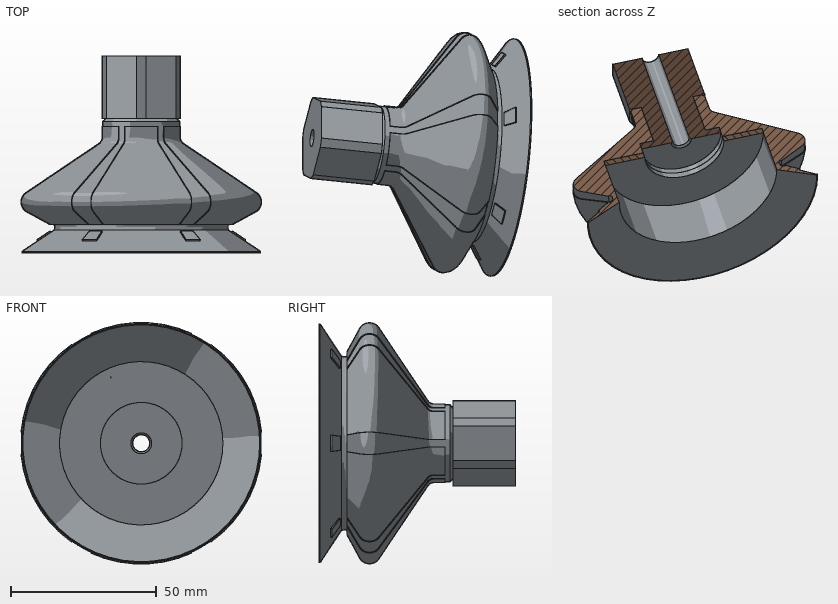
import cadquery as cq
import math


overall_length = 67.4
overall_radius = 41.4

pad_thickness = 0.29
fold_rounding = 3.6
fold_y = 17.4
fold_center_radius = overall_radius - pad_thickness - fold_rounding
upper_cone_angle = math.radians(56.2)
lower_cone_angle = math.radians(61.5)
fold_end_y = 9.6
neck_radius = 13.2
neck_rounding = 2.3
neck_top_y = 45.9
neck_chamfer = 1.0

groove_radius = 29.7
groove_y = 8.7
groove_rounding = 0.4
lip_radius = 40.9
lip_edge_height = 0.5
lip_edge_width = 0.3
lip_top_radius = 29.9
lip_top_y = 7.8
lip_inside_height = 6.0

pad_count = 6
pad_pitch = 360 / pad_count
pad_span = 49.4
pad_top_y = 43.2

block_thickness = 0.5
block_span = 9.0
block_bottom_y = 4.05
block_top_y = 7.0

cup_radius = 28.0
ring_hole_radius = 14.0
ring_front_y = 23.4
ring_thickness = 2.1
ring_back_y = ring_front_y + ring_thickness

flange_front_y = 27.4
flange_thickness = 2.5
flange_back_y = flange_front_y + flange_thickness
stem_radius = 9.1
hex_across_flats = 26.8
hex_corner_radius = 14.65
bore_radius = 2.9
bore_chamfer = 0.7


def revolve_about_y(outline, angle=360):
    """Turn an outline about the Y axis, starting in the XY plane."""
    return outline.close().revolve(angle, (0, 0, 0), (0, 1, 0))


def sector_about_y(outline, span, middle):
    """Turn an outline through span degrees, its middle at an angle measured from +X."""
    solid = revolve_about_y(outline, span)
    return solid.rotate((0, 0, 0), (0, 1, 0), middle - span / 2)


def cylinder(radius, start_y, end_y):
    return cq.Workplane("XZ", origin=(0, start_y, 0)).circle(radius).extrude(start_y - end_y)


def point_on_fold(rounding, angle):
    return (
        fold_center_radius + rounding * math.cos(angle),
        fold_y + rounding * math.sin(angle),
    )


def add_fold(outline, offset):
    """Continue an outline up the lower cone, round the fold and up the upper cone
    to the foot of the neck, raised from the plain surface by the offset."""
    rounding = fold_rounding + offset
    lower_tangent = point_on_fold(rounding, -lower_cone_angle)
    upper_tangent = point_on_fold(rounding, upper_cone_angle)
    start_radius = lower_tangent[0] - (lower_tangent[1] - fold_end_y) * math.tan(lower_cone_angle)

    foot_radius = neck_radius + offset
    corner_y = upper_tangent[1] + (upper_tangent[0] - foot_radius) / math.tan(upper_cone_angle)
    half_turn = upper_cone_angle / 2
    tangent_length = neck_rounding * math.tan(half_turn)
    cone_end = (
        foot_radius + tangent_length * math.sin(upper_cone_angle),
        corner_y - tangent_length * math.cos(upper_cone_angle),
    )
    neck_start = (foot_radius, corner_y + tangent_length)
    rounding_middle = (
        foot_radius + neck_rounding * (1 - math.cos(half_turn)),
        neck_start[1] - neck_rounding * math.sin(half_turn),
    )

    return (
        outline.lineTo(start_radius, fold_end_y)
        .lineTo(*lower_tangent)
        .threePointArc(point_on_fold(rounding, 0), upper_tangent)
        .lineTo(*cone_end)
        .threePointArc(rounding_middle, neck_start)
    )


def make_bellows_blank():
    """Lip, groove, fold and neck as one solid without any cavity."""
    outline = (
        cq.Workplane("XY")
        .lineTo(lip_radius, 0)
        .lineTo(lip_radius, lip_edge_height)
        .lineTo(lip_top_radius, lip_top_y)
        .lineTo(groove_radius, groove_y)
        .lineTo(groove_radius, fold_end_y - groove_rounding)
        .tangentArcPoint((groove_radius + groove_rounding, fold_end_y), relative=False)
    )
    outline = (
        add_fold(outline, 0)
        .lineTo(neck_radius, neck_top_y - neck_chamfer)
        .lineTo(neck_radius - neck_chamfer, neck_top_y)
        .lineTo(0, neck_top_y)
    )
    return revolve_about_y(outline)


def make_pad(middle):
    """Raised sector over the fold and neck, reaching inward to the stem."""
    outline = cq.Workplane("XY").moveTo(stem_radius, fold_end_y)
    outline = (
        add_fold(outline, pad_thickness)
        .lineTo(neck_radius + pad_thickness, pad_top_y)
        .lineTo(stem_radius, pad_top_y)
    )
    return sector_about_y(outline, pad_span, middle)


def make_lip_block(middle):
    """Raised block with its ends square to the outer cone of the lip."""
    run = lip_radius - lip_top_radius
    rise = lip_top_y - lip_edge_height
    slant = math.hypot(run, rise)

    def above_cone(y, height):
        radius = lip_radius - (y - lip_edge_height) * run / rise
        return (radius + height * rise / slant, y + height * run / slant)

    outline = (
        cq.Workplane("XY")
        .moveTo(*above_cone(block_bottom_y, -block_thickness))
        .lineTo(*above_cone(block_bottom_y, block_thickness))
        .lineTo(*above_cone(block_top_y, block_thickness))
        .lineTo(*above_cone(block_top_y, -block_thickness))
    )
    return sector_about_y(outline, block_span, middle)


def make_bellows_cavity():
    """Open cup with its ring seat, the flange pocket and the stem hole."""
    outline = (
        cq.Workplane("XY")
        .lineTo(lip_radius - lip_edge_width, 0)
        .lineTo(cup_radius, lip_inside_height)
        .lineTo(cup_radius, ring_back_y)
        .lineTo(ring_hole_radius, ring_back_y)
        .lineTo(ring_hole_radius, flange_back_y)
        .lineTo(stem_radius, flange_back_y)
        .lineTo(stem_radius, neck_top_y)
        .lineTo(0, neck_top_y)
    )
    return revolve_about_y(outline)


def make_bellows():
    body = make_bellows_blank()
    for index in range(pad_count):
        block_middle = index * pad_pitch
        body = body.union(make_pad(block_middle + pad_pitch / 2))
        body = body.union(make_lip_block(block_middle))
    return body.cut(make_bellows_cavity())


def make_support_ring():
    ring = cylinder(cup_radius, ring_front_y, ring_back_y)
    return ring.cut(cylinder(ring_hole_radius, ring_front_y, ring_back_y))


def make_fitting():
    """Flange and stem inside the bellows, hexagon behind it, bored through."""
    hex_circumscribed_diameter = hex_across_flats / math.cos(math.pi / 6)
    hexagon = (
        cq.Workplane("XZ", origin=(0, neck_top_y, 0))
        .transformed(rotate=(0, 0, 90))
        .polygon(6, hex_circumscribed_diameter)
        .extrude(neck_top_y - overall_length)
        .intersect(cylinder(hex_corner_radius, neck_top_y, overall_length))
    )
    body = (
        cylinder(ring_hole_radius, flange_front_y, flange_back_y)
        .union(cylinder(stem_radius, flange_back_y, neck_top_y))
        .union(hexagon)
    )
    bore = (
        cq.Workplane("XY")
        .moveTo(0, flange_front_y)
        .lineTo(bore_radius + bore_chamfer, flange_front_y)
        .lineTo(bore_radius, flange_front_y + bore_chamfer)
        .lineTo(bore_radius, overall_length)
        .lineTo(0, overall_length)
    )
    return body.cut(revolve_about_y(bore))


bellows = make_bellows()
support_ring = make_support_ring()
fitting = make_fitting()

result = cq.Compound.makeCompound(
    [bellows.solids().val(), support_ring.solids().val(), fitting.solids().val()]
)